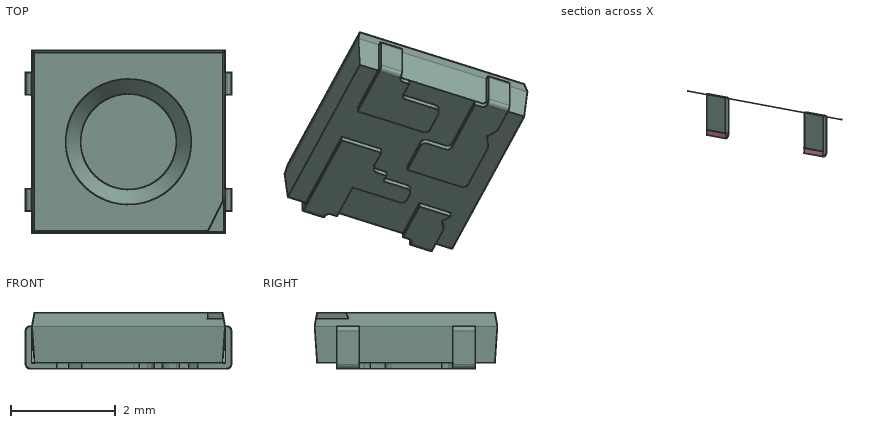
import cadquery as cq

TOTAL_LENGTH = 3.94
TOTAL_HEIGHT = 1.07
HOUSING_LENGTH = 3.695
HOUSING_WIDTH = 3.5
DRAFT_INSET = 0.047
PAD_THICKNESS = 0.11
PARTING_Z = 0.815

BOWL_TOP_RADIUS = 1.2
BOWL_FLOOR_RADIUS = 0.915
BOWL_DEPTH = 0.4

NOTCH_DEPTH = 0.115
NOTCH_X = 1.51
NOTCH_Y = -1.725
NOTCH_SLOPE = 2.0

LEAD_OUTER_Y = 1.328
LEAD_INNER_Y = 0.9
LEAD_BEND_RADIUS = 0.09
PAD_CORNER_RADIUS = 0.105
PAD_STEP_RADIUS = 0.09
OUTER_X = TOTAL_LENGTH / 2
STRIP_INNER_X = HOUSING_LENGTH / 2
PAD_SIDE_X = STRIP_INNER_X - DRAFT_INSET
PAD_STEP_Y = 0.68

FRONT_LEFT_END_X = 0.205
FRONT_LEFT_FINGER_X = -0.55
FRONT_LEFT_FINGER_Y = -0.115
FRONT_LEFT_VEE_X = (-1.375, -1.145, -0.9)
FRONT_LEFT_VEE_DEPTH = 0.13

FRONT_RIGHT_VEE_X = (0.97, 1.155, 1.325)
FRONT_RIGHT_VEE_DEPTH = 0.11

BACK_LEFT_FINGER_X = (-1.42, -0.788)
BACK_LEFT_FINGER_Y = -0.125

BACK_RIGHT_END_X = 0.0
BACK_RIGHT_EDGE_Y = 0.512
BACK_RIGHT_SHOULDER_X = 0.495
BACK_RIGHT_SHOULDER_Y = 0.197
BACK_RIGHT_SHOULDER_RADIUS = 0.138
BACK_RIGHT_FINGER_X = (0.645, 1.015)
BACK_RIGHT_FINGER_Y = -0.395


def make_housing():
    """Two drafted halves that meet at the parting line, with bowl and notch cut out."""
    end_length = HOUSING_LENGTH - 2 * DRAFT_INSET
    end_width = HOUSING_WIDTH - 2 * DRAFT_INSET
    lower = (
        cq.Workplane("XY", origin=(0, 0, PAD_THICKNESS))
        .rect(end_length, end_width)
        .workplane(offset=PARTING_Z - PAD_THICKNESS)
        .rect(HOUSING_LENGTH, HOUSING_WIDTH)
        .loft(ruled=True)
    )
    upper = (
        cq.Workplane("XY", origin=(0, 0, PARTING_Z))
        .rect(HOUSING_LENGTH, HOUSING_WIDTH)
        .workplane(offset=TOTAL_HEIGHT - PARTING_Z)
        .rect(end_length, end_width)
        .loft(ruled=True)
    )
    return lower.union(upper).cut(make_bowl()).cut(make_notch())


def make_bowl():
    floor_z = TOTAL_HEIGHT - BOWL_DEPTH
    return (
        cq.Workplane("XY", origin=(0, 0, floor_z))
        .circle(BOWL_FLOOR_RADIUS)
        .workplane(offset=BOWL_DEPTH)
        .circle(BOWL_TOP_RADIUS)
        .loft()
    )


def make_notch():
    """Triangular prism that reaches past the corner of the housing."""
    right_x = HOUSING_LENGTH / 2
    front_y = -HOUSING_WIDTH / 2
    left_x = NOTCH_X + (front_y - NOTCH_Y) / NOTCH_SLOPE
    back_y = NOTCH_Y + (right_x - NOTCH_X) * NOTCH_SLOPE
    return (
        cq.Workplane("XY", origin=(0, 0, TOTAL_HEIGHT - NOTCH_DEPTH))
        .polyline([(left_x, front_y), (right_x, front_y), (right_x, back_y)])
        .close()
        .extrude(NOTCH_DEPTH)
    )


def vee_points(xs, depth):
    """Corners of a V-shaped nick in the front edge of a pad, from left to right."""
    left_x, tip_x, right_x = xs
    return [(left_x, -LEAD_OUTER_Y), (tip_x, -LEAD_OUTER_Y + depth), (right_x, -LEAD_OUTER_Y)]


def foot_points(side_x, side_y):
    """Corners of the narrow foot under a lead, from its outer edge to where the pad widens."""
    return [
        (side_x * OUTER_X, side_y * LEAD_OUTER_Y),
        (side_x * OUTER_X, side_y * LEAD_INNER_Y),
        (side_x * PAD_SIDE_X, side_y * LEAD_INNER_Y),
        (side_x * PAD_SIDE_X, side_y * PAD_STEP_Y),
    ]


def make_lead(side_x, side_y, pad_points, rounded_corners):
    """One lead: foot and pad outline, rounded corners as (x, y, radius), and upright strip."""
    foot = foot_points(side_x, side_y)
    foot_corner = (*foot[2], PAD_STEP_RADIUS)
    lead = cq.Workplane("XY").polyline(foot + pad_points).close().extrude(PAD_THICKNESS)
    for x, y, radius in [foot_corner] + rounded_corners:
        corner = cq.selectors.NearestToPointSelector((x, y, PAD_THICKNESS / 2))
        lead = lead.edges("|Z").edges(corner).fillet(radius)

    strip_thickness = OUTER_X - STRIP_INNER_X
    strip = cq.Workplane("XY").box(
        strip_thickness, LEAD_OUTER_Y - LEAD_INNER_Y, PARTING_Z, centered=(True, True, False)
    )
    strip_x = side_x * (OUTER_X + STRIP_INNER_X) / 2
    strip_y = side_y * (LEAD_OUTER_Y + LEAD_INNER_Y) / 2
    lead = lead.union(strip.translate((strip_x, strip_y, 0)))

    outer_face = ">X" if side_x > 0 else "<X"
    return lead.faces(outer_face).edges("|Y").fillet(LEAD_BEND_RADIUS)


def make_front_left_lead():
    """Wide pad with a finger toward +Y at its right end."""
    finger_base = (FRONT_LEFT_FINGER_X, -PAD_STEP_Y)
    finger_tip = (FRONT_LEFT_FINGER_X, FRONT_LEFT_FINGER_Y)
    front_end = (FRONT_LEFT_END_X, -LEAD_OUTER_Y)
    vee = vee_points(FRONT_LEFT_VEE_X, FRONT_LEFT_VEE_DEPTH)
    pad = [finger_base, finger_tip, (FRONT_LEFT_END_X, FRONT_LEFT_FINGER_Y), front_end] + vee[::-1]
    rounds = [
        (*finger_base, PAD_STEP_RADIUS),
        (*finger_tip, PAD_CORNER_RADIUS),
        (*front_end, PAD_CORNER_RADIUS),
    ]
    return make_lead(-1, -1, pad, rounds)


def make_front_right_lead():
    """Short pad whose left end runs out in the nick of its front edge."""
    vee = vee_points(FRONT_RIGHT_VEE_X, FRONT_RIGHT_VEE_DEPTH)
    pad = [(FRONT_RIGHT_VEE_X[0], -PAD_STEP_Y)] + vee
    return make_lead(1, -1, pad, [])


def make_back_left_lead():
    """Short pad with a finger toward -Y."""
    left_x, right_x = BACK_LEFT_FINGER_X
    finger_base = (left_x, PAD_STEP_Y)
    finger_tip = (left_x, BACK_LEFT_FINGER_Y)
    far_tip = (right_x, BACK_LEFT_FINGER_Y)
    pad = [finger_base, finger_tip, far_tip, (right_x, LEAD_OUTER_Y)]
    rounds = [
        (*finger_base, PAD_STEP_RADIUS),
        (*finger_tip, PAD_CORNER_RADIUS),
        (*far_tip, PAD_CORNER_RADIUS),
    ]
    return make_lead(-1, 1, pad, rounds)


def make_back_right_lead():
    """Wide pad with a stepped inner edge and a finger toward -Y."""
    left_x, right_x = BACK_RIGHT_FINGER_X
    right_tip = (right_x, BACK_RIGHT_FINGER_Y)
    left_tip = (left_x, BACK_RIGHT_FINGER_Y)
    shoulder_base = (BACK_RIGHT_SHOULDER_X, BACK_RIGHT_EDGE_Y)
    pad = [
        (right_x, PAD_STEP_Y),
        right_tip,
        left_tip,
        (left_x, BACK_RIGHT_SHOULDER_Y),
        (BACK_RIGHT_SHOULDER_X, BACK_RIGHT_SHOULDER_Y),
        shoulder_base,
        (BACK_RIGHT_END_X, BACK_RIGHT_EDGE_Y),
        (BACK_RIGHT_END_X, LEAD_OUTER_Y),
    ]
    rounds = [
        (*right_tip, PAD_CORNER_RADIUS),
        (*left_tip, PAD_CORNER_RADIUS),
        (*shoulder_base, BACK_RIGHT_SHOULDER_RADIUS),
    ]
    return make_lead(1, 1, pad, rounds)


housing = make_housing()
leads = [
    make_front_left_lead(),
    make_front_right_lead(),
    make_back_left_lead(),
    make_back_right_lead(),
]

result = cq.Compound.makeCompound([housing.val(), *[lead.val() for lead in leads]])